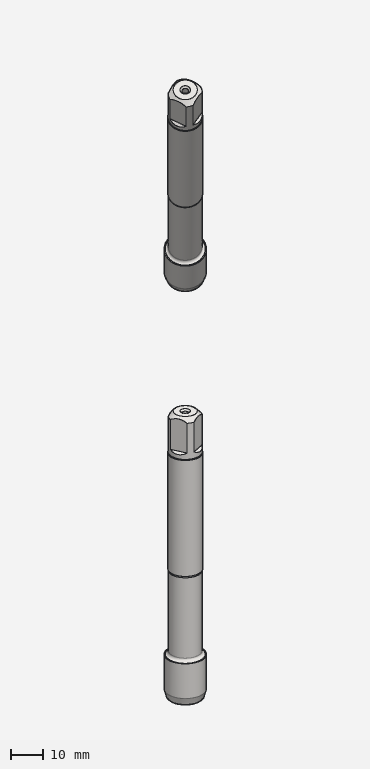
import cadquery as cq
import math

TOTAL_LENGTH = 100.0
TIP_CHAMFER_HEIGHT = 0.5
LEAD_TOP = 2.9
HEAD_TOP = 15.0
NECK_BOTTOM = 16.3
SHANK_BOTTOM = 45.0
SHANK_TOP = 85.8
SQUARE_BOTTOM = 88.0

HEAD_DIAMETER = 13.2
LEAD_DIAMETER = 11.9
TIP_DIAMETER = 10.8
NECK_DIAMETER = 10.6
SHANK_DIAMETER = 11.0
DRIVE_DIAMETER = 10.7
LOWER_CHAMFER_HEIGHT = 0.6
UPPER_CHAMFER_HEIGHT = 0.3
SQUARE_WIDTH = 9.0
RUN_OUT_ANGLE = 42
END_CHAMFER = 1.6

SHOULDER_DIAMETER = 12.4
SHOULDER_WIDTH = (SHOULDER_DIAMETER - NECK_DIAMETER) / 2
SHOULDER_HEIGHT = NECK_BOTTOM - HEAD_TOP
SHOULDER_RADIUS = (SHOULDER_WIDTH**2 + SHOULDER_HEIGHT**2) / (2 * SHOULDER_WIDTH)

CENTRE_HOLE_DIAMETER = 2.0
CENTRE_HOLE_DEPTH = 3.0
CENTRE_MOUTH_DIAMETER = 3.2


def revolved(profile):
    """Revolve (diameter, height) steps, starting and ending on the Z axis, about that axis."""
    points = [(diameter / 2, height) for diameter, height in profile]
    return cq.Workplane("XZ").polyline(points).close().revolve(360, (0, 0), (0, 1))


def make_cutting_head():
    """Cylindrical head with a tapered lead and a small chamfer at the tip."""
    return revolved([
        (0, 0),
        (TIP_DIAMETER, 0),
        (LEAD_DIAMETER, TIP_CHAMFER_HEIGHT),
        (HEAD_DIAMETER, LEAD_TOP),
        (HEAD_DIAMETER, HEAD_TOP),
        (0, HEAD_TOP),
    ])


def make_flat_cutter():
    """Cutter for the flat facing +X, with a sloping run-out at its lower end."""
    flat_offset = SQUARE_WIDTH / 2
    reach = SHANK_DIAMETER
    run_out_drop = reach * math.tan(math.radians(RUN_OUT_ANGLE))
    return (
        cq.Workplane("XZ")
        .moveTo(flat_offset, SQUARE_BOTTOM)
        .lineTo(flat_offset, TOTAL_LENGTH)
        .lineTo(flat_offset + reach, TOTAL_LENGTH)
        .lineTo(flat_offset + reach, SQUARE_BOTTOM - run_out_drop)
        .close()
        .extrude(reach, both=True)
    )


def make_centre_hole():
    """Drilled hole with a 45 degree mouth and a 45 degree conical bottom."""
    mouth_depth = (CENTRE_MOUTH_DIAMETER - CENTRE_HOLE_DIAMETER) / 2
    hole_bottom = TOTAL_LENGTH - CENTRE_HOLE_DEPTH
    return revolved([
        (0, hole_bottom - CENTRE_HOLE_DIAMETER / 2),
        (CENTRE_HOLE_DIAMETER, hole_bottom),
        (CENTRE_HOLE_DIAMETER, TOTAL_LENGTH - mouth_depth),
        (CENTRE_MOUTH_DIAMETER, TOTAL_LENGTH),
        (0, TOTAL_LENGTH),
    ])


def make_shoulder():
    """Flared foot of the neck, its concave arc tangent to the neck."""
    arc_centre_x = NECK_DIAMETER / 2 + SHOULDER_RADIUS
    half_sweep = math.asin(SHOULDER_HEIGHT / SHOULDER_RADIUS) / 2
    arc_middle = (
        arc_centre_x - SHOULDER_RADIUS * math.cos(half_sweep),
        NECK_BOTTOM - SHOULDER_RADIUS * math.sin(half_sweep),
    )
    return (
        cq.Workplane("XZ")
        .moveTo(0, HEAD_TOP)
        .lineTo(SHOULDER_DIAMETER / 2, HEAD_TOP)
        .threePointArc(arc_middle, (NECK_DIAMETER / 2, NECK_BOTTOM))
        .lineTo(0, NECK_BOTTOM)
        .close()
        .revolve(360, (0, 0), (0, 1))
    )


def make_shank():
    """Stepped shank with a shoulder on the head and a driving square at the top."""
    shank = revolved([
        (0, HEAD_TOP),
        (NECK_DIAMETER, HEAD_TOP),
        (NECK_DIAMETER, SHANK_BOTTOM - LOWER_CHAMFER_HEIGHT),
        (SHANK_DIAMETER, SHANK_BOTTOM),
        (SHANK_DIAMETER, SHANK_TOP - UPPER_CHAMFER_HEIGHT),
        (DRIVE_DIAMETER, SHANK_TOP),
        (DRIVE_DIAMETER, TOTAL_LENGTH - END_CHAMFER),
        (DRIVE_DIAMETER - 2 * END_CHAMFER, TOTAL_LENGTH),
        (0, TOTAL_LENGTH),
    ])
    flat_cutter = make_flat_cutter()
    for angle in (0, 90, 180, 270):
        shank = shank.cut(flat_cutter.rotate((0, 0, 0), (0, 0, 1), angle))
    return shank.union(make_shoulder()).cut(make_centre_hole())


cutting_head = make_cutting_head()
shank = make_shank()

result = cq.Compound.makeCompound([cutting_head.val(), shank.val()])